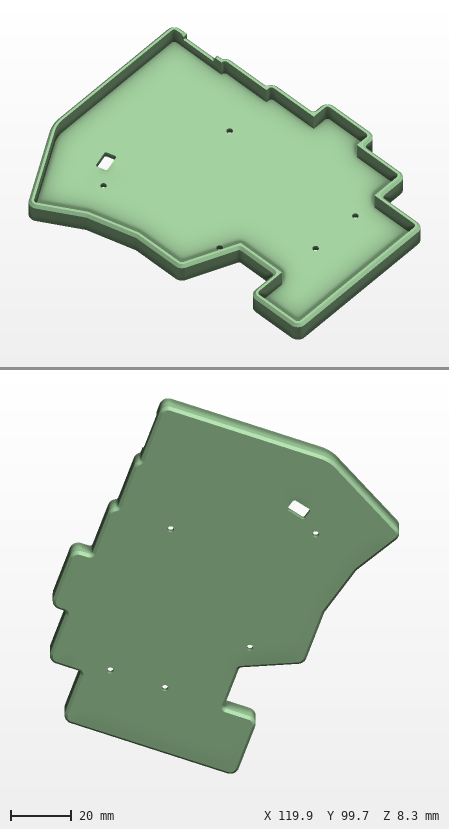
import cadquery as cq
import math

overall_width = 119.9
overall_depth = 99.7
height = 8.3
wall = 1.8
floor_thickness = 2.0
rim_chamfer = 1.0

cavity_corner_radius = 1.2
cavity_bend_radius = 10.7
outer_notch_radius = 1.0

left = wall
step_a = 23.3
step_b = 42.2
step_c = 61.4
step_d = 80.1
step_e = 99.1
right = overall_width - wall
arm_left = 99.5

level_1 = 87.6
level_2 = 89.1
level_3 = 91.3
level_4 = overall_depth - wall
level_5 = 92.2
level_6 = 80.3
arm_bottom = 23.1
notch_top = 35.2
front = 15.6

slant_top_x = 80.9
slant_bottom_x = 72.4
shallow_start_x = 53.5
shallow_run = 18.5
shallow_angle = math.radians(15)
thumb_corner_x = 18.9
thumb_angle = math.radians(30)

fold_x = shallow_start_x - shallow_run
fold_y = front - shallow_run * math.tan(shallow_angle)
thumb_corner_y = fold_y - (fold_x - thumb_corner_x) * math.tan(thumb_angle)
bend_y = thumb_corner_y + (thumb_corner_x - left) / math.tan(thumb_angle)

gap_left = 6.0
gap_right = 19.7
gap_depth = 2.4

screw_hole_diameter = 2.2
screw_holes = [(41.7, 71.8), (97.0, 73.4), (97.0, 54.2), (73.7, 32.7), (27.5, 26.1)]
window_center = (20.9, 34.4)
window_width = 4.3
window_length = 6.8
window_corner_radius = 0.7
window_tilt = 15

cavity_corners = [
    (left, level_1, cavity_corner_radius),
    (step_a, level_1, 0),
    (step_a, level_2, cavity_corner_radius),
    (step_b, level_2, 0),
    (step_b, level_3, cavity_corner_radius),
    (step_c, level_3, 0),
    (step_c, level_4, cavity_corner_radius),
    (step_d, level_4, cavity_corner_radius),
    (step_d, level_5, 0),
    (step_e, level_5, cavity_corner_radius),
    (step_e, level_6, 0),
    (right, level_6, cavity_corner_radius),
    (right, arm_bottom, cavity_corner_radius),
    (arm_left, arm_bottom, cavity_corner_radius),
    (arm_left, notch_top, 0),
    (slant_top_x, notch_top, 0),
    (slant_bottom_x, front, cavity_corner_radius),
    (shallow_start_x, front, 0),
    (fold_x, fold_y, 0),
    (thumb_corner_x, thumb_corner_y, cavity_corner_radius),
    (left, bend_y, cavity_bend_radius),
]


def upright_edge_at(x, y):
    """Select the upright edge that stands at an XY place."""
    margin = 0.06
    low = (x - margin, y - margin, -margin)
    high = (x + margin, y + margin, height + margin)
    return cq.selectors.BoxSelector(low, high)


def make_cavity():
    """Full-height prism of the inner outline with its rounded corners."""
    points = [(x, y) for x, y, radius in cavity_corners]
    prism = cq.Workplane("XY").polyline(points).close().extrude(height)
    for x, y, radius in cavity_corners:
        if radius > 0:
            prism = prism.edges("|Z").edges(upright_edge_at(x, y)).fillet(radius)
    return prism


def make_tray(cavity):
    """Chamfered outer block with the cavity sunk down to the floor."""
    inner_wire = cavity.faces("<Z").wires().val()
    grown_wire = inner_wire.offset2D(wall + outer_notch_radius)[0]
    outer_wire = grown_wire.offset2D(-outer_notch_radius)[0]
    block = cq.Workplane("XY").add(outer_wire).toPending().extrude(height)
    block = block.faces("|Z").edges().chamfer(rim_chamfer)
    return block.cut(cavity.translate((0, 0, floor_thickness)))


def lower_back_wall(tray):
    """Lower a stretch of the back wall, keeping the rim chamfer along it and flaring its ends."""
    shoulder = height - rim_chamfer
    gap_profile = [
        (gap_left, floor_thickness),
        (gap_right, floor_thickness),
        (gap_right, shoulder),
        (gap_right + rim_chamfer, height),
        (gap_left - rim_chamfer, height),
        (gap_left, shoulder),
    ]
    back_wall_plane = cq.Workplane("XZ", origin=(0, level_1 - wall, 0))
    gap = back_wall_plane.polyline(gap_profile).close().extrude(-3 * wall)
    lowered_tray = tray.translate((0, 0, -gap_depth))
    return tray.cut(gap.cut(lowered_tray))


def make_screw_holes():
    return cq.Workplane("XY").pushPoints(screw_holes).circle(screw_hole_diameter / 2).extrude(height)


def make_window():
    """Tilted rectangular opening with rounded corners."""
    window = cq.Workplane("XY").rect(window_width, window_length).extrude(height)
    window = window.edges("|Z").fillet(window_corner_radius)
    window = window.rotate((0, 0, 0), (0, 0, 1), window_tilt)
    return window.translate((*window_center, 0))


tray = lower_back_wall(make_tray(make_cavity()))
result = tray.cut(make_screw_holes()).cut(make_window())